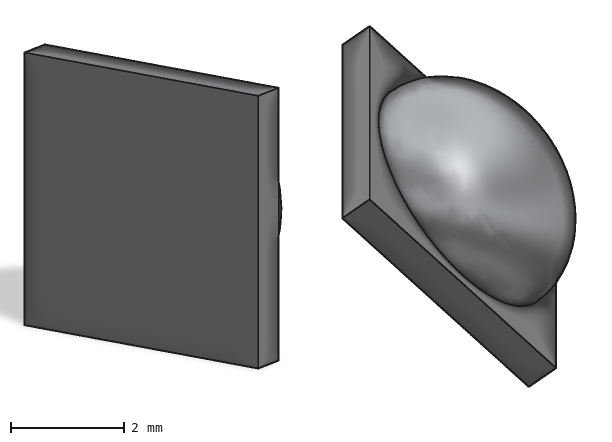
import cadquery as cq

plate_side = 5
plate_thickness = 0.64

total_depth = 2.4
dome_radius = 2.26
dome_height = total_depth - plate_thickness

plate = cq.Workplane("XZ").rect(plate_side, plate_side).extrude(-plate_thickness)

dome_profile = (
    cq.Workplane("YZ")
    .lineTo(total_depth, 0)
    .ellipseArc(dome_height, dome_radius, 0, 90, startAtCurrent=True)
    .lineTo(0, dome_radius)
    .close()
)
dome = dome_profile.revolve(360, (0, 0), (1, 0))

result = plate.union(dome)